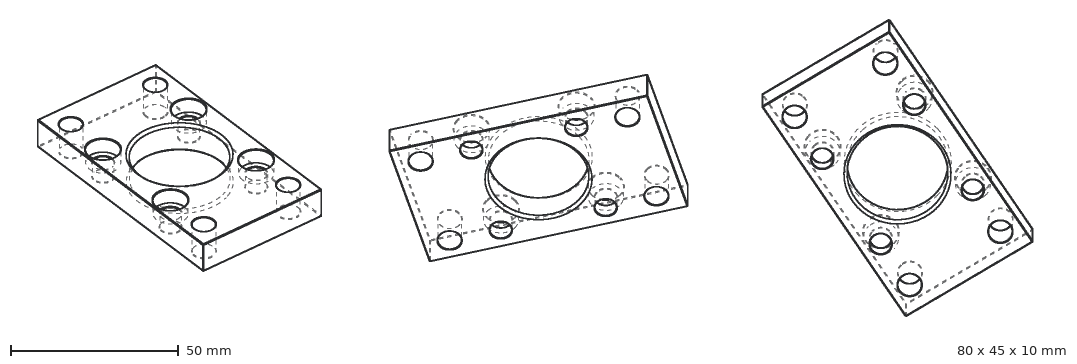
import cadquery as cq

length = 80.0
width = 45.0
thickness = 10.0
edge_chamfer = 0.2

bore_diameter = 30.0
bore_chamfer = 1.0

mount_spacing_x = 64.0
mount_spacing_y = 32.0
mount_diameter = 7.0
mount_chamfer = 0.2

screw_spacing = 32.5
screw_diameter = 6.5
screw_chamfer = 0.2
head_diameter = 10.5
head_depth = 5.0
head_chamfer = 0.2


def chamfered_cut(diameter, bottom, top, chamfer, both_ends=False):
    """Cylinder on the Z axis that flares outward by the chamfer at its ends."""
    radius = diameter / 2
    cutter = cq.Workplane("XY").workplane(offset=bottom).circle(radius).extrude(top - bottom)
    ends = [(top, -1)]
    if both_ends:
        ends.append((bottom, 1))
    for level, inward in ends:
        flare = cq.Solid.makeCone(
            radius + chamfer, radius, chamfer, cq.Vector(0, 0, level), cq.Vector(0, 0, inward)
        )
        cutter = cutter.union(cq.Workplane(flare))
    return cutter


def cut_pattern(body, cutter, spacing_x, spacing_y):
    """Cut the same hole at the four corners of a centred rectangle."""
    for side_x in (-1, 1):
        for side_y in (-1, 1):
            position = (side_x * spacing_x / 2, side_y * spacing_y / 2, 0)
            body = body.cut(cutter.translate(position))
    return body


plate = cq.Workplane("XY").box(length, width, thickness, centered=(True, True, False))
plate = plate.edges().chamfer(edge_chamfer)

bore = chamfered_cut(bore_diameter, 0, thickness, bore_chamfer, both_ends=True)
plate = plate.cut(bore)

mount_hole = chamfered_cut(mount_diameter, 0, thickness, mount_chamfer, both_ends=True)
plate = cut_pattern(plate, mount_hole, mount_spacing_x, mount_spacing_y)

head_floor = thickness - head_depth
screw_hole = chamfered_cut(screw_diameter, 0, head_floor, screw_chamfer, both_ends=True)
head_recess = chamfered_cut(head_diameter, head_floor, thickness, head_chamfer)
plate = cut_pattern(plate, screw_hole.union(head_recess), screw_spacing, screw_spacing)

result = plate